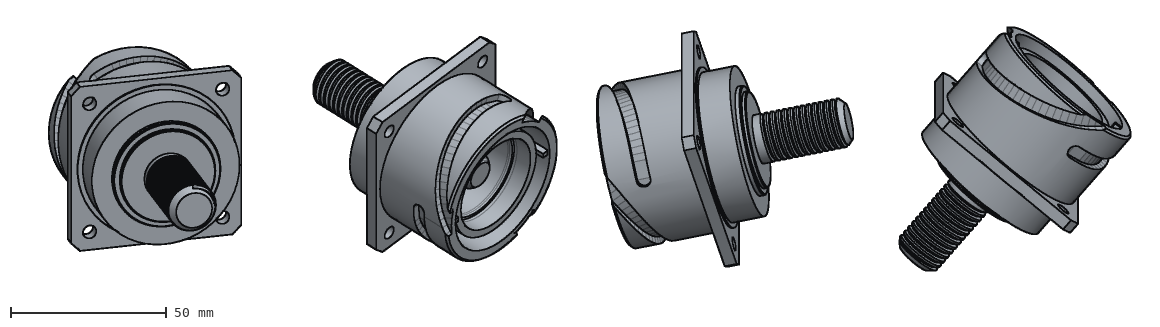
import math

import cadquery as cq


TUBE_FRONT_X = 3.0
LEDGE_X = 10.0
BORE_TAPER_X = 9.0
LIP_BREAK_X = 10.9
LIP_BACK_X = 11.5
CAVITY_FLOOR_X = 22.0
PIN_FRONT_X = 9.7
KEY_FRONT_X = 0.8
FLANGE_FRONT_X = 29.0
FLANGE_BACK_X = 33.0
COLLAR_BACK_X = 33.5
REAR_BODY_BACK_X = 44.0
LARGE_RING_BACK_X = 45.7
SMALL_RING_BACK_X = 47.0
STUD_END_X = 77.0

SHELL_RADIUS = 26.7
SHELL_CHAMFER = 0.75
COLLAR_RADIUS = 26.4
REAR_BODY_RADIUS = 24.7
LARGE_RING_RADIUS = 18.0
LARGE_RING_CHAMFER = 0.35
SMALL_RING_RADIUS = 15.9
SMALL_RING_CHAMFER = 0.35
STUD_RADIUS = 8.0
STUD_CHAMFER = 2.0

SHELL_BORE_RADIUS = 22.5
TUBE_RADIUS = 19.3
TUBE_BORE_RADIUS = 16.6
TAPERED_BORE_RADIUS = 16.5
LIP_RADIUS = 15.6
LIP_BREAK_RADIUS = 15.25
CAVITY_RADIUS = 15.1
PIN_RADIUS = 6.0
PIN_NOSE_RADIUS = 4.5
PIN_NOSE_STEPS = [(0.55, 5.05), (1.1, 5.5), (1.9, PIN_RADIUS)]
KEY_WIDTH = 1.75
KEY_HEIGHT = 2.3

FLANGE_SIZE = 57.0
FLANGE_CORNER_CHAMFER = 3.0
MOUNT_HOLE_PITCH = 44.5
MOUNT_HOLE_DIAMETER = 4.4

GROOVE_COUNT = 3
GROOVE_WIDTH = 4.65
GROOVE_FLOOR_RADIUS = 24.4
GROOVE_CUT_CLEARANCE = 2.0
GROOVE_CUT_RADIUS = SHELL_RADIUS + GROOVE_CUT_CLEARANCE
GROOVE_LOCKED_X = 12.05
GROOVE_ARC_RADIUS = 105.0
GROOVE_LOCKED_ANGLE = -62.0
GROOVE_ARC_START_ANGLE = -48.0
GROOVE_OVERRUN = 4.0
GROOVE_PANELS = 23

THREAD_PITCH = 2.0
THREAD_DEPTH = 0.95
THREAD_FLANK_ANGLE = 30.0
THREAD_ROOT_WIDTH = 0.15
THREAD_START_X = 49.3
THREAD_END_X = 75.8
THREAD_OVERLAP = 0.3


def cylinder(radius, x_start, x_end):
    return cq.Workplane("YZ").workplane(offset=x_start).circle(radius).extrude(x_end - x_start)


def revolve_about_axis(half_section):
    return cq.Workplane("XY").polyline(half_section).close().revolve(360, (0, 0, 0), (1, 0, 0))


def make_outer_body():
    shell = cylinder(SHELL_RADIUS, 0, FLANGE_BACK_X).faces("<X").chamfer(SHELL_CHAMFER)
    collar = cylinder(COLLAR_RADIUS, FLANGE_BACK_X, COLLAR_BACK_X)
    rear_body = cylinder(REAR_BODY_RADIUS, COLLAR_BACK_X, REAR_BODY_BACK_X)
    large_ring = cylinder(LARGE_RING_RADIUS, REAR_BODY_BACK_X, LARGE_RING_BACK_X)
    large_ring = large_ring.faces(">X").chamfer(LARGE_RING_CHAMFER)
    small_ring = cylinder(SMALL_RING_RADIUS, LARGE_RING_BACK_X, SMALL_RING_BACK_X)
    small_ring = small_ring.faces(">X").chamfer(SMALL_RING_CHAMFER)
    return shell.union(collar).union(rear_body).union(large_ring).union(small_ring)


def make_flange():
    flange_thickness = FLANGE_BACK_X - FLANGE_FRONT_X
    return (
        cq.Workplane("YZ")
        .workplane(offset=FLANGE_FRONT_X)
        .rect(FLANGE_SIZE, FLANGE_SIZE)
        .extrude(flange_thickness)
        .edges("|X")
        .chamfer(FLANGE_CORNER_CHAMFER)
        .faces("<X")
        .workplane(origin=(FLANGE_FRONT_X, 0, 0))
        .rect(MOUNT_HOLE_PITCH, MOUNT_HOLE_PITCH, forConstruction=True)
        .vertices()
        .hole(MOUNT_HOLE_DIAMETER)
    )


def make_inner_tube():
    """Tube inside the shell; its stepped bore narrows through a lip of two cones."""
    half_section = [
        (TUBE_FRONT_X, TUBE_RADIUS),
        (TUBE_FRONT_X, TUBE_BORE_RADIUS),
        (BORE_TAPER_X, TUBE_BORE_RADIUS),
        (LEDGE_X, TAPERED_BORE_RADIUS),
        (LEDGE_X, LIP_RADIUS),
        (LIP_BREAK_X, LIP_BREAK_RADIUS),
        (LIP_BACK_X, CAVITY_RADIUS),
        (CAVITY_FLOOR_X, CAVITY_RADIUS),
        (CAVITY_FLOOR_X, TUBE_RADIUS),
    ]
    return revolve_about_axis(half_section)


def make_pin():
    """Contact pin whose flat tip widens to the full radius through three cones."""
    half_section = [(CAVITY_FLOOR_X, 0), (PIN_FRONT_X, 0), (PIN_FRONT_X, PIN_NOSE_RADIUS)]
    for distance, radius in PIN_NOSE_STEPS:
        half_section.append((PIN_FRONT_X + distance, radius))
    half_section.append((CAVITY_FLOOR_X, PIN_RADIUS))
    return revolve_about_axis(half_section)


def make_keys():
    """Two axial keys standing inward from the shell bore on +Y and -Y."""
    key_outer = (SHELL_BORE_RADIUS + GROOVE_FLOOR_RADIUS) / 2
    key_inner = SHELL_BORE_RADIUS - KEY_HEIGHT
    key_length = CAVITY_FLOOR_X - KEY_FRONT_X
    pair = cq.Workplane("XY").box(key_length, 2 * key_outer, KEY_WIDTH)
    gap = cq.Workplane("XY").box(key_length, 2 * key_inner, KEY_WIDTH)
    return pair.cut(gap).translate((KEY_FRONT_X + key_length / 2, 0, 0))


def groove_section(x, angle, slope):
    """Radial rectangle across the groove; slope is the path's tilt away from the circumference."""
    radial = cq.Vector(0, -math.cos(angle), math.sin(angle))
    around = cq.Vector(0, math.sin(angle), math.cos(angle))
    across = cq.Vector(math.cos(slope), 0, 0) + around * math.sin(slope)
    half_width = across * (GROOVE_WIDTH / 2)
    floor = cq.Vector(x, 0, 0) + radial * GROOVE_FLOOR_RADIUS
    top = cq.Vector(x, 0, 0) + radial * GROOVE_CUT_RADIUS
    corners = [floor - half_width, floor + half_width, top + half_width, top - half_width]
    return cq.Wire.makePolygon(corners, close=True)


def make_groove_cutter():
    locked_angle = math.radians(GROOVE_LOCKED_ANGLE)
    arc_start_angle = math.radians(GROOVE_ARC_START_ANGLE)
    final_slope = math.acos(1 - (GROOVE_LOCKED_X + GROOVE_OVERRUN) / GROOVE_ARC_RADIUS)

    sections = [groove_section(GROOVE_LOCKED_X, locked_angle, 0)]
    for i in range(GROOVE_PANELS + 1):
        slope = final_slope * i / GROOVE_PANELS
        x = GROOVE_LOCKED_X - GROOVE_ARC_RADIUS * (1 - math.cos(slope))
        angle = arc_start_angle + GROOVE_ARC_RADIUS * math.sin(slope) / SHELL_RADIUS
        sections.append(groove_section(x, angle, slope))
    channel = cq.Workplane(obj=cq.Solid.makeLoft(sections, True))

    radial = cq.Vector(0, -math.cos(locked_angle), math.sin(locked_angle))
    end_base = cq.Vector(GROOVE_LOCKED_X, 0, 0) + radial * GROOVE_FLOOR_RADIUS
    end_depth = GROOVE_CUT_RADIUS - GROOVE_FLOOR_RADIUS
    round_end = cq.Solid.makeCylinder(GROOVE_WIDTH / 2, end_depth, end_base, radial)
    return channel.union(cq.Workplane(obj=round_end))


def cut_grooves(body):
    cutter = make_groove_cutter()
    for i in range(GROOVE_COUNT):
        body = body.cut(cutter.rotate((0, 0, 0), (1, 0, 0), i * 360 / GROOVE_COUNT))
    return body


def make_thread_cutter():
    """Right-handed V groove, swept along Z and then laid onto the X axis, starting on +Y."""
    root_radius = STUD_RADIUS - THREAD_DEPTH
    outer_radius = STUD_RADIUS + THREAD_OVERLAP
    half_root = THREAD_ROOT_WIDTH / 2
    half_top = half_root + (outer_radius - root_radius) * math.tan(math.radians(THREAD_FLANK_ANGLE))
    helix = cq.Wire.makeHelix(THREAD_PITCH, THREAD_END_X - THREAD_START_X, STUD_RADIUS)
    profile = [
        (root_radius, -half_root),
        (root_radius, half_root),
        (outer_radius, half_top),
        (outer_radius, -half_top),
    ]
    groove = cq.Workplane("XZ").polyline(profile).close().sweep(cq.Workplane(obj=helix), isFrenet=True)
    return (
        groove.rotate((0, 0, 0), (0, 1, 0), 90)
        .rotate((0, 0, 0), (1, 0, 0), 90)
        .translate((THREAD_START_X, 0, 0))
    )


def make_stud():
    stud = cylinder(STUD_RADIUS, SMALL_RING_BACK_X, STUD_END_X).faces(">X").chamfer(STUD_CHAMFER)
    return stud.cut(make_thread_cutter())


housing = make_outer_body().union(make_flange())
housing = housing.cut(cylinder(SHELL_BORE_RADIUS, 0, CAVITY_FLOOR_X))
housing = cut_grooves(housing)
housing = housing.union(make_inner_tube()).union(make_pin()).union(make_keys())
result = housing.union(make_stud())